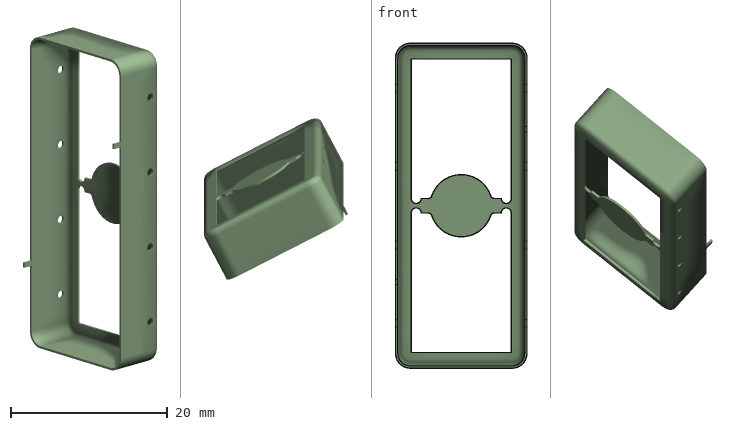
import cadquery as cq
import math

width = 16.8
length = 41.5
overall_depth = 8.0
peg_height = 1.2
frame_depth = overall_depth - peg_height
wall = 0.3
floor_thickness = wall
corner_radius = 1.9
outer_edge_radius = 0.8
inner_edge_radius = outer_edge_radius - wall

window_margin = 2.05
disc_radius = 4.0
arm_height = 1.9
neck_height = 0.6
notch_radius = 0.62
notch_length = 2 * arm_height
arm_root_radius = 0.4

hole_diameter = 1.0
hole_pitch = 10.0
hole_count = 4
hole_from_back = 1.6

peg_length = 0.65
peg_offset = 9.75

back_y = overall_depth / 2
rim_y = back_y - frame_depth
window_width = width - 2 * window_margin
window_length = length - 2 * window_margin


def rounded_block(block_width, block_length, radius, start_y, end_y):
    """Block running along Y with rounded corners in the XZ plane."""
    return (
        cq.Workplane("XZ", origin=(0, end_y, 0))
        .rect(block_width, block_length)
        .extrude(end_y - start_y)
        .edges("|Y")
        .fillet(radius)
    )


def floor_plane():
    return cq.Workplane("XZ", origin=(0, back_y, 0))


def make_tray():
    outer = rounded_block(width, length, corner_radius, rim_y, back_y)
    outer = outer.faces(">Y").edges().fillet(outer_edge_radius)
    cavity = rounded_block(
        width - 2 * wall,
        length - 2 * wall,
        corner_radius - wall,
        rim_y,
        back_y - floor_thickness,
    )
    cavity = cavity.faces(">Y").edges().fillet(inner_edge_radius)
    window = floor_plane().rect(window_width, window_length).extrude(floor_thickness)
    return outer.cut(cavity).cut(window)


def make_suspended_disc():
    disc = floor_plane().circle(disc_radius).extrude(floor_thickness)
    arms = floor_plane().rect(window_width, arm_height).extrude(floor_thickness)
    notch_x = window_width / 2 - notch_radius
    notch_z = (neck_height + notch_length) / 2
    notch_centers = [(x, z) for x in (-notch_x, notch_x) for z in (-notch_z, notch_z)]
    notches = (
        floor_plane()
        .pushPoints(notch_centers)
        .slot2D(notch_length, 2 * notch_radius, 90)
        .extrude(floor_thickness)
    )
    arm_root_x = math.sqrt(disc_radius**2 - (arm_height / 2) ** 2)
    root_box = cq.selectors.BoxSelector(
        (-arm_root_x - arm_root_radius, -overall_depth, -arm_height),
        (arm_root_x + arm_root_radius, overall_depth, arm_height),
    )
    rooted_disc = disc.union(arms).edges("|Y").edges(root_box).fillet(arm_root_radius)
    return rooted_disc.cut(notches)


def make_side_holes():
    return (
        cq.Workplane("YZ", origin=(0, back_y - hole_from_back, 0))
        .rarray(0.4, hole_pitch, 1, hole_count)
        .circle(hole_diameter / 2)
        .extrude(width / 2, both=True)
    )


def make_peg(side):
    """Peg flush with the outside of one long wall: -1 is low left, 1 is high right."""
    peg_depth = peg_height + wall
    return cq.Workplane("XY").box(wall, peg_depth, peg_length).translate(
        (side * (width - wall) / 2, (peg_depth - overall_depth) / 2, side * peg_offset)
    )


result = make_tray().union(make_suspended_disc()).cut(make_side_holes())
for side in (-1, 1):
    result = result.union(make_peg(side))